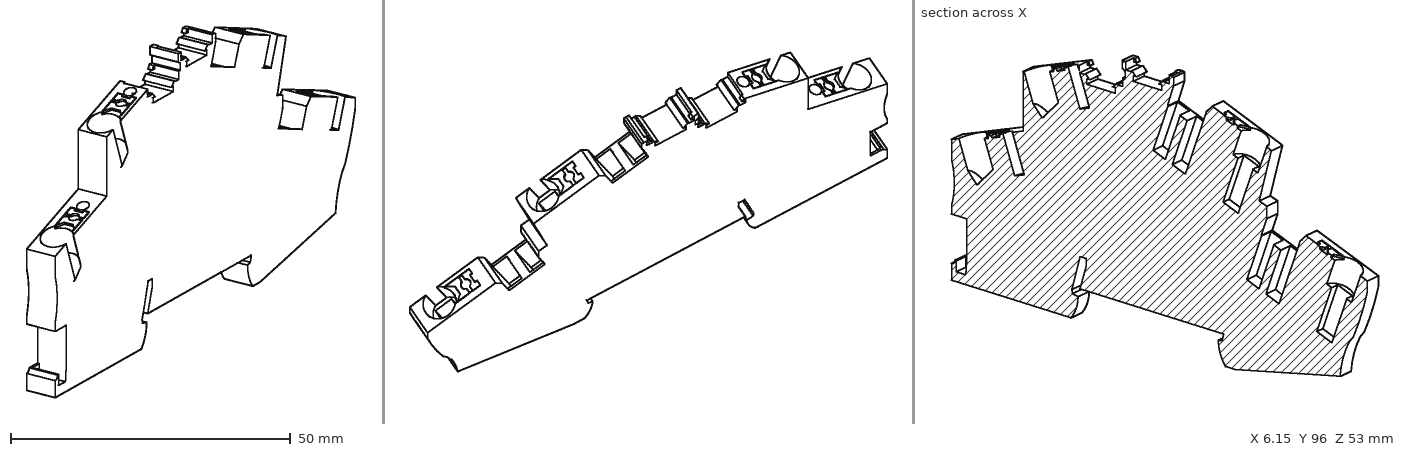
import math

import cadquery as cq

width = 6.15
length = 96.0
height = 53.0

slope_deg = 20.0
slope_sin = math.sin(math.radians(slope_deg))
slope_cos = math.cos(math.radians(slope_deg))
slope_tan = math.tan(math.radians(slope_deg))

lower_step_z = 27.3
upper_step_y = 16.5
upper_step_z = 44.75

tower_edge_y = 74.2
tower_edge_z = 44.6
tower_chamfer_run = 0.8
tower_chamfer_rise = 0.25
tower_chamfer_offset = 0.35
tower_shift_y = 21.6
tower_shift_z = -19.35

groove_centre_gap = 10.7
upper_groove_y = 45.25
lower_groove_y = upper_groove_y - groove_centre_gap
latch_height = 3.35
upper_groove_z = height - latch_height
lower_groove_z = upper_groove_z - 3.4
latch_half_outline = [
    (3.25, 0),
    (3.25, 1.0),
    (2.6, 1.0),
    (3.55, 1.95),
    (3.85, 1.75),
    (4.95, 1.75),
    (4.95, 2.6),
    (4.25, 2.6),
    (4.65, latch_height),
]
nib_length = 0.95
nib_inner_y = 4.2
nib_outer_y = 4.95
nib_base_z = 1.75
post_outer_y = 51.3
post_chamfer_run = 0.45
post_chamfer_drop = 0.15

rail_seat_z = 6.15
recess_depth = 3.55
recess_bottom_z = 4.1
recess_top_z = 12.8
recess_draft_z = 5.0
recess_draft = 0.08
trench_wall = 0.4
trench_front_y = 1.2
trench_floor_z = 2.0
lip_radius = 0.8
finger_bottom_z = 14.4
finger_top_z = 23.5
finger_depth = 0.65

terminal_x = 3.4
bore_diameter = 6.0
bore_depth = 6.0
bore_floor_outline = [
    (-bore_diameter / 2, bore_depth),
    (-1.8, 8.8),
    (bore_diameter / 2, 6.4),
]
bore_edge_distance_front = 4.6
bore_edge_distance_upper = 3.15
bore_edge_distance_rear = 4.3
clamp_width = 3.9
clamp_length = 3.6
clamp_depth = 16.0
pusher_end = 7.85
pusher_width = 3.9
pusher_recess = 0.15
slot_position = 5.8
slot_width = 0.68
slot_depth = 0.6
slot_eye_diameter = 1.9
pusher_tab_length = 0.5
pusher_tab_width = 1.7
pusher_nose_end = 3.95
pusher_nose_base = 3.9
pusher_nose_tip = 1.9
pusher_nose_start = 2.7
test_hole_position = 8.9
test_hole_diameter = 2.3
test_hole_depth = 8.0

bridge_width = 5.2
bridge_depth = 10.0
bridge_spans = [(0.0, 3.1), (4.9, 7.8)]
notch_corner_y = 57.35
notch_corner_z = 44.25
notch_wall_height = 4.25

overlap = 0.2


def latch_groove(centre_y, floor_z):
    """Groove outline from its low-Y latch tip to its high-Y latch tip."""
    low_side = [(centre_y - y, floor_z + z) for y, z in reversed(latch_half_outline)]
    high_side = [(centre_y + y, floor_z + z) for y, z in latch_half_outline]
    return low_side + high_side


def tower_outline(shift_y, shift_z):
    """Notch floor and sloped top of one rear tower, towards high Y."""
    points = [
        (49.9, 46.95),
        (notch_corner_y, notch_corner_z),
        (
            notch_corner_y + notch_wall_height * slope_sin,
            notch_corner_z + notch_wall_height * slope_cos,
        ),
        (60.2, 49.65),
        (tower_edge_y - tower_chamfer_run, tower_edge_z + tower_chamfer_rise),
        (tower_edge_y - tower_chamfer_offset, tower_edge_z),
    ]
    return [(y + shift_y, z + shift_z) for y, z in points]


def follow(sketch, points):
    """Continue an outline with straight lines through the points."""
    for y, z in points:
        sketch = sketch.lineTo(y, z)
    return sketch


def housing():
    """The constant-thickness plate that carries every other feature."""
    finger_mid_z = (finger_bottom_z + finger_top_z) / 2
    lower_slope_top_z = lower_step_z + upper_step_y * slope_tan

    sketch = cq.Workplane("YZ").moveTo(0, 0)
    sketch = sketch.lineTo(0, recess_bottom_z - lip_radius)
    sketch = sketch.radiusArc((lip_radius, recess_bottom_z), -lip_radius)
    sketch = follow(sketch, [
        (recess_depth - recess_draft, recess_bottom_z),
        (recess_depth, recess_draft_z),
        (recess_depth, recess_top_z),
        (0, recess_top_z),
        (0, finger_bottom_z),
    ])
    sketch = sketch.threePointArc((finger_depth, finger_mid_z), (0, finger_top_z))
    sketch = follow(sketch, [
        (0, lower_step_z),
        (upper_step_y, lower_slope_top_z),
        (upper_step_y, upper_step_z),
    ])
    sketch = follow(sketch, latch_groove(lower_groove_y, lower_groove_z))
    sketch = follow(sketch, [(40.05, 49.6), (40.05, 51.0), (39.4, 51.4), (39.4, height)])
    sketch = follow(sketch, latch_groove(upper_groove_y, upper_groove_z))
    sketch = follow(sketch, [
        (post_outer_y - post_chamfer_run, height),
        (post_outer_y, height - post_chamfer_drop),
        (post_outer_y, 51.2),
    ])
    sketch = follow(sketch, tower_outline(0, 0))
    sketch = follow(sketch, [(71.05, 34.15), (72.8, 33.6), (72.8, 31.2)])
    sketch = follow(sketch, tower_outline(tower_shift_y, tower_shift_z)[:-2])
    sketch = follow(sketch, [(length, tower_edge_z + tower_shift_z), (length, 23.2)])
    sketch = sketch.threePointArc((94.5, 18.0), (92.75, 13.55))
    sketch = sketch.lineTo(91.8, 12.35)
    sketch = sketch.threePointArc((90.4, 8.9), (89.7, 5.1))
    sketch = follow(sketch, [(65.5, 0), (63.2, 0)])
    sketch = sketch.threePointArc((61.95, 2.2), (61.5, 4.65))
    sketch = follow(sketch, [
        (62.4, 4.9),
        (62.75, rail_seat_z),
        (29.6, rail_seat_z),
        (31.05, 10.9),
        (31.05, 12.4),
        (29.75, 12.4),
        (27.85, 5.6),
        (28.0, 4.85),
        (29.3, 4.6),
    ])
    sketch = sketch.threePointArc((28.75, 1.9), (27.6, 0))
    return sketch.close().extrude(width)


def slope_plane(y, z, uphill):
    """Plane on a sloped face; local x runs uphill, uphill is +1 (+Y) or -1 (-Y)."""
    return cq.Plane(
        origin=(terminal_x, y, z),
        xDir=(0, uphill * slope_cos, slope_sin),
        normal=(0, -uphill * slope_sin, slope_cos),
    )


def sink(sketch, depth):
    """Turn a closed outline on a face into a cutter of the given depth."""
    return sketch.extrude(-depth - overlap)


def block(plane, start, end, block_width, depth):
    """Box cutter between two positions up the slope."""
    sketch = cq.Workplane(plane).workplane(offset=overlap).center((start + end) / 2, 0)
    return sink(sketch.rect(end - start, block_width), depth)


def hole(plane, position, diameter, depth):
    sketch = cq.Workplane(plane).workplane(offset=overlap).center(position, 0)
    return sink(sketch.circle(diameter / 2), depth)


def pusher(plane):
    """Shallow release pusher with a screwdriver slot, a round eye and a tapered nose."""
    half_slot = slot_width / 2
    recess = block(plane, 0, pusher_end, pusher_width, pusher_recess)
    tab = block(plane, pusher_end - pusher_tab_length, pusher_end, pusher_tab_width, pusher_recess)
    slot = block(plane, slot_position - half_slot, slot_position + half_slot, pusher_width, slot_depth)
    eye = hole(plane, slot_position, slot_eye_diameter, slot_depth)
    nose_outline = [
        (0, -pusher_nose_base / 2),
        (pusher_nose_start, -pusher_nose_base / 2),
        (pusher_nose_end, -pusher_nose_tip / 2),
        (pusher_nose_end, pusher_nose_tip / 2),
        (pusher_nose_start, pusher_nose_base / 2),
        (0, pusher_nose_base / 2),
    ]
    nose_sketch = cq.Workplane(plane).workplane(offset=overlap).polyline(nose_outline).close()
    nose = sink(nose_sketch, slot_depth)
    return recess.cut(tab).union(slot).union(eye).union(nose)


def rear_terminal(plane):
    """Wire bore stepping down to a rectangular clamp opening, plus the pusher."""
    bore = hole(plane, 0, bore_diameter, bore_depth)
    half_clamp = clamp_length / 2
    clamp = block(plane, -half_clamp, half_clamp, clamp_width, clamp_depth)
    return bore.union(clamp).union(pusher(plane))


def front_terminal(plane):
    """Wire bore with a V-shaped floor, plus the pusher and a round test hole."""
    bore_radius = bore_diameter / 2
    v_floor = cq.Workplane("XZ", origin=(0, bore_radius, 0)).moveTo(-bore_radius, overlap)
    v_floor = follow(v_floor, [(x, -depth) for x, depth in bore_floor_outline])
    v_floor = v_floor.lineTo(bore_radius, overlap).close().extrude(bore_diameter)
    placed_v_floor = cq.Workplane(v_floor.val().moved(cq.Location(plane)))
    deepest = max(depth for _, depth in bore_floor_outline)
    bore = hole(plane, 0, bore_diameter, deepest).intersect(placed_v_floor)
    test_hole = hole(plane, test_hole_position, test_hole_diameter, test_hole_depth)
    return bore.union(pusher(plane)).union(test_hole)


def box(corner, opposite):
    """Axis-aligned box between two opposite corners."""
    size = [high - low for low, high in zip(corner, opposite)]
    return cq.Workplane("XY").box(*size, centered=False).translate(corner)


def nib_trim(groove_y, groove_z, side):
    """Removes one upper barb everywhere except at the -X end."""
    edges = sorted((groove_y + side * nib_inner_y, groove_y + side * nib_outer_y))
    return box(
        (nib_length, edges[0], groove_z + nib_base_z),
        (width, edges[1], groove_z + latch_height),
    )


def recess_trench():
    """Trench behind the front lip, closed by a thin wall on the -X side."""
    drafted_slope = recess_draft / (recess_draft_z - recess_bottom_z)
    back_top_y = recess_depth - recess_draft
    back_floor_y = back_top_y - drafted_slope * (recess_bottom_z - trench_floor_z)
    outline = [
        (trench_front_y, recess_bottom_z),
        (trench_front_y, trench_floor_z),
        (back_floor_y, trench_floor_z),
        (back_top_y, recess_bottom_z),
    ]
    sketch = cq.Workplane("YZ", origin=(trench_wall, 0, 0)).polyline(outline).close()
    return sketch.extrude(width - trench_wall)


result = housing().cut(recess_trench())

for groove_y, groove_z in ((upper_groove_y, upper_groove_z), (lower_groove_y, lower_groove_z)):
    for side in (-1, 1):
        result = result.cut(nib_trim(groove_y, groove_z, side))

for edge_y, edge_z, distance in (
    (0, lower_step_z, bore_edge_distance_front),
    (upper_step_y, upper_step_z, bore_edge_distance_upper),
):
    face = slope_plane(edge_y + distance, edge_z + distance * slope_tan, 1)
    result = result.cut(front_terminal(face))

for tower in range(2):
    shift_y = tower * tower_shift_y
    shift_z = tower * tower_shift_z
    bore_y = tower_edge_y - bore_edge_distance_rear + shift_y
    bore_z = tower_edge_z + bore_edge_distance_rear * slope_tan + shift_z
    result = result.cut(rear_terminal(slope_plane(bore_y, bore_z, -1)))

    notch = cq.Plane(
        origin=(width / 2, notch_corner_y + shift_y, notch_corner_z + shift_z),
        xDir=(0, -slope_cos, slope_sin),
        normal=(0, slope_sin, slope_cos),
    )
    for start, end in bridge_spans:
        result = result.cut(block(notch, start, end, bridge_width, bridge_depth))